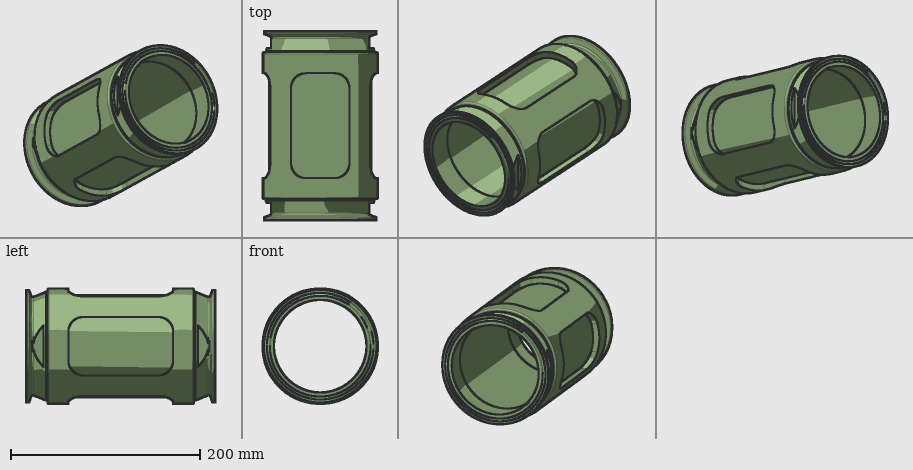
import cadquery as cq
import math


total_length = 200.0
half_length = total_length / 2
bore_radius = 48.8

housing_radius = 61.0
housing_end_depth = 22.5
housing_edge_fillet = 2.0
window_length = 110.8
window_width = 61.5
window_corner_radius = 15.5

glass_radius = 54.0
glass_end_depth = 25.5

flange_radius = 59.5
flange_rim_depth = 3.2
flange_back_angle = math.radians(20)
flange_edge_fillet = 1.5

groove_radius = 54.8
groove_half_width = 1.5
groove_depth = 1.5
groove_lip_fillet = 0.5
groove_lip_reach = groove_half_width + groove_lip_fillet

cone_angle = math.radians(22.5)
cone_end_depth = 21.2
collar_radius = 57.5
neck_fillet = 1.8

flat_distance = 52.0
flat_end_depth = 18.2

back_slope = 1 / math.tan(flange_back_angle)
cone_slope = math.tan(cone_angle)
back_reach = flange_radius + flange_rim_depth * back_slope
cone_reach = collar_radius - cone_end_depth * cone_slope
valley_depth = (back_reach - cone_reach) / (back_slope + cone_slope)
valley_radius = cone_reach + valley_depth * cone_slope


def cylinder(outer_radius, length):
    """Solid cylinder along the Y axis, centred on the origin."""
    return cq.Workplane("XZ", origin=(0, length / 2, 0)).circle(outer_radius).extrude(length)


def circles_at(y):
    """Selector for the circular edges that lie in the plane at this Y."""
    reach = 0.02
    return cq.selectors.BoxSelector((-reach, y - reach, -reach), (reach, y + reach, reach))


def window_cutter(angle):
    """Rounded rectangular prism from the axis outward, turned about Y."""
    return (
        cq.Workplane("XY")
        .rect(window_width, window_length)
        .extrude(2 * housing_radius)
        .edges("|Z")
        .fillet(window_corner_radius)
        .rotate((0, 0, 0), (0, 1, 0), angle)
    )


def make_housing():
    housing_length = total_length - 2 * housing_end_depth
    body = cylinder(housing_radius, housing_length)
    body = body.faces("<Y or >Y").edges().fillet(housing_edge_fillet)
    body = body.cut(cylinder(glass_radius, housing_length))
    for angle in (0, 90, 180, 270):
        body = body.cut(window_cutter(angle))
    return body


def make_glass():
    glass_length = total_length - 2 * glass_end_depth
    return cylinder(glass_radius, glass_length).cut(cylinder(bore_radius, glass_length))


def ferrule_blank():
    """Revolved ferrule at the +Y end, with a spigot that enters the housing bore."""
    outline = [
        (bore_radius, 0),
        (flange_radius, 0),
        (flange_radius, flange_rim_depth),
        (valley_radius, valley_depth),
        (collar_radius, cone_end_depth),
        (collar_radius, housing_end_depth),
        (glass_radius, housing_end_depth),
        (glass_radius, glass_end_depth),
        (bore_radius, glass_end_depth),
    ]
    points = [(radius, half_length - depth) for radius, depth in outline]
    blank = cq.Workplane("XY").polyline(points).close().revolve(360, (0, 0), (0, 1))
    blank = blank.edges(circles_at(half_length - flange_rim_depth)).fillet(flange_edge_fillet)
    return blank.edges(circles_at(half_length - valley_depth)).fillet(neck_fillet)


def cut_gasket_groove(ferrule):
    groove = (
        cq.Workplane("XY")
        .moveTo(groove_radius - groove_half_width, half_length)
        .threePointArc(
            (groove_radius, half_length - groove_depth),
            (groove_radius + groove_half_width, half_length),
        )
        .close()
        .revolve(360, (0, 0), (0, 1))
    )
    return (
        ferrule.cut(groove)
        .edges(circles_at(half_length))
        .filter(lambda edge: abs(edge.radius() - groove_radius) < groove_lip_reach)
        .fillet(groove_lip_fillet)
    )


def cut_wrench_flats(ferrule):
    """Flats on both X sides, from the valley to a square shoulder in the cone."""
    flat_length = flat_end_depth - valley_depth
    cutter_thickness = flange_radius - flat_distance
    cutter_x = flat_distance + cutter_thickness / 2
    cutter_y = half_length - (valley_depth + flat_end_depth) / 2
    for side in (-1, 1):
        cutter = cq.Workplane("XY").box(cutter_thickness, flat_length, 2 * flange_radius)
        ferrule = ferrule.cut(cutter.translate((side * cutter_x, cutter_y, 0)))
    return ferrule


def make_ferrule(turn):
    """Finished ferrule, turned about Z to the end where it sits."""
    ferrule = cut_wrench_flats(cut_gasket_groove(ferrule_blank()))
    return ferrule.rotate((0, 0, 0), (0, 0, 1), turn)


housing = make_housing()
glass = make_glass()
ferrules = [make_ferrule(turn) for turn in (0, 180)]

result = cq.Compound.makeCompound(
    [body.solids().val() for body in (housing, glass, *ferrules)]
)